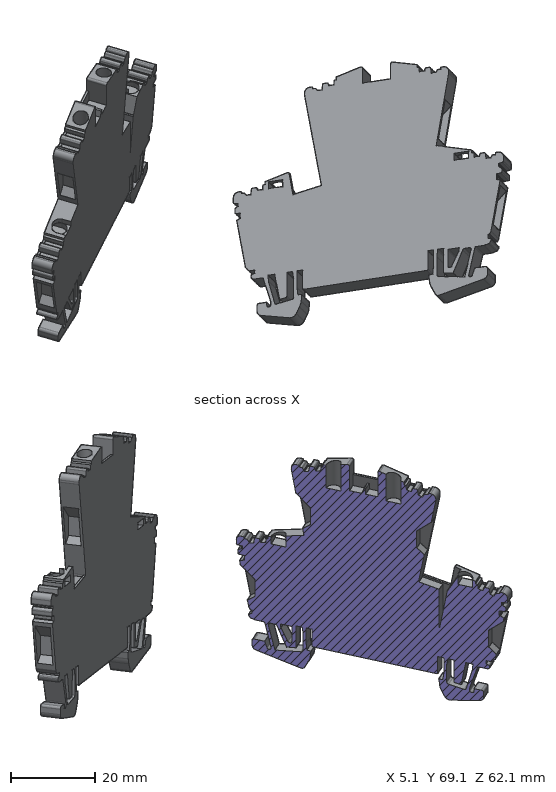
import cadquery as cq
import math

THICKNESS = 5.1
HALF_LENGTH = 34.535
HEIGHT = 62.1
SKIN = 0.6

TOWER_CENTRE_Y = -2.1
TOWER_HALF_WIDTH = 18.43
TOWER_BUMP_Z = 58.87
TOWER_WALL_TOP_Z = 57.0
CENTRE_NOTCH_HALF_WIDTH = 3.55
CENTRE_NOTCH_Z = 57.85
PEAK_CORNER_RISE = 0.14
PEAK_RADIUS = 0.5
NOTCH_RECESS_DEPTH = 3.2
RIB_TOP_DEPTH = 1.6
RIB_LEFT_Y = -1.5
RIB_TOP_WIDTH = 0.5
RIB_FOOT_WIDTH = 1.1

BODY_BUMP_Z = 34.65
BODY_WALL_TOP_Y = 33.685
BODY_WALL_TOP_Z = 27.35
LEFT_NOTCH_WALL_TOP = (20.33, 37.8, 0.3)
LEFT_NOTCH_OUTER = (19.3, 31.82)
LEFT_NOTCH_INNER = (12.03, 33.04)
FLANK_SKIN = 1.0
FLANK_FOOT = (19.1, 31.5)
FLANK_TOP_Y = 21.6
WELL_BOTTOM = (17.2, 20.6)
LEDGE_DEPTH = 0.5
RIGHT_STEP_CORNER = (-17.35, 38.8)

FOOT_ROOF_Z = 11.94
RAIL_SEAT_Z = 6.9
RAIL_SEAT_LEFT_Y = 16.82
RAIL_SEAT_RIGHT_Y = -15.24

HOLE_DIAMETER = 3.65
HOLE_X = 2.86
BODY_HOLE_Y = 23.75
TOWER_HOLE_OFFSET = 7.63
BODY_HOLE_FLOOR_Z = 34.3
TOWER_HOLE_FLOOR_Z = 54.0
WINDOW_TOP_Z = 36.05

WALL_LEAN = 0.178
ENTRY_X = (0.66, 4.6)
ENTRY_HEIGHT = 9.85
ENTRY_ROOF_DROP = 3.45
ENTRY_FLOOR_RISE = 1.6
ENTRY_DEPTH = 3.7
ENTRY_OVERSHOOT = 1.0
TOWER_ENTRY_TOP_Z = 50.55
BODY_ENTRY_TOP_Z = 26.25

COMB_GROOVES = ((3.4, 4.4, -1.15), (6.3, 7.4, -0.32))
COMB_END = (8.1, 1.6)
SIDE_NOTCHES = ((31.05, 31.65, 1.2), (27.9, 29.05, 1.75))
GROOVE_RECESS = 0.35
COMB_SLOPE = math.tan(math.radians(15))


def corner_points(before, corner, after, radius):
    """Start, middle and end of the arc that rounds a corner."""
    to_before = cq.Vector(before[0] - corner[0], before[1] - corner[1]).normalized()
    to_after = cq.Vector(after[0] - corner[0], after[1] - corner[1]).normalized()
    apex = cq.Vector(corner[0], corner[1])
    half_angle = to_before.getAngle(to_after) / 2
    start = apex + to_before * (radius / math.tan(half_angle))
    end = apex + to_after * (radius / math.tan(half_angle))
    bisector = (to_before + to_after).normalized()
    middle = apex + bisector * (radius / math.sin(half_angle) - radius)
    return [(point.x, point.y) for point in (start, middle, end)]


def rounded_prism(points, x_from=0.0, x_to=THICKNESS):
    """Prism along X of a closed (y, z) outline; a third value rounds that corner."""
    profile = None
    for index, point in enumerate(points):
        if len(point) == 3:
            following = points[(index + 1) % len(points)]
            stops = corner_points(points[index - 1], point, following, point[2])
        else:
            stops = [point]
        if profile is None:
            profile = cq.Workplane("YZ", origin=(x_from, 0, 0)).moveTo(*stops[0])
        else:
            profile = profile.lineTo(*stops[0])
        if len(stops) == 3:
            profile = profile.threePointArc(*stops[1:])
    return profile.close().extrude(x_to - x_from)


def block(x_range, y_range, z_range):
    """Axis-aligned box between the given limits."""
    size = [abs(limits[1] - limits[0]) for limits in (x_range, y_range, z_range)]
    lowest = [min(limits) for limits in (x_range, y_range, z_range)]
    return cq.Workplane("XY").box(*size, centered=False).translate(tuple(lowest))


def comb(outer_y, side, bump_z):
    """Marker comb from its outer edge inward; side is +1 at the +Y end and -1 at the -Y end."""
    shape = [
        (0.0, 0.0, 1.35), (2.0, 0.0, 0.25), (2.1, -0.5), (2.8, -0.5, 0.2), (3.3, -1.15),
        (4.45, -1.15), (4.65, 0.42, 0.4), (5.95, 0.42, 0.3), (6.2, -0.32), (7.5, -0.32),
        (7.55, 0.75), (8.1, 0.95), COMB_END,
    ]
    return [(outer_y - side * point[0], bump_z + point[1], *point[2:]) for point in shape]


def side_teeth(side):
    """Notched edge of the lower body, from the comb downward."""
    shape = [
        (0.0, 31.85, 0.3), (1.2, 31.7), (1.2, 31.0), (0.4, 30.45, 0.3), (0.4, 29.15, 0.3),
        (1.75, 29.1), (1.8, 27.8), (HALF_LENGTH - BODY_WALL_TOP_Y, BODY_WALL_TOP_Z),
    ]
    return [(side * (HALF_LENGTH - point[0]), *point[1:]) for point in shape]


def left_foot():
    """Clip foot at the +Y end, from the body wall to the rail seat."""
    return [
        (31.45, 14.85, 0.4), (30.5, 13.8, 0.4), (29.1, 13.8), (29.1, 13.0),
        (30.0, 12.7, 0.3), (30.0, 11.5, 0.7), (26.95, 11.5, 0.2), (24.96, 5.0, 0.4),
        (24.96, 3.75, 0.5), (25.95, 3.75, 0.48), (26.0, 5.05), (28.5, 5.05, 0.6),
        (28.5, 2.1, 1.3), (19.0, -0.17, 1.6), (17.25, 3.2, 4.0), (17.0, 5.6), (18.0, 5.75),
        (18.25, 7.6), (18.25, FOOT_ROOF_Z), (RAIL_SEAT_LEFT_Y, FOOT_ROOF_Z),
        (RAIL_SEAT_LEFT_Y, RAIL_SEAT_Z, 0.3),
    ]


def right_foot():
    """Clip foot at the -Y end, from the rail seat to the body wall."""
    return [
        (RAIL_SEAT_RIGHT_Y, RAIL_SEAT_Z, 0.3), (RAIL_SEAT_RIGHT_Y, FOOT_ROOF_Z),
        (-16.65, FOOT_ROOF_Z, 0.15), (-16.65, 7.6), (-16.46, 5.75), (-15.43, 5.6),
        (-15.7, 3.2, 4.0), (-17.4, -0.15, 1.0), (-30.5, 2.65, 1.3), (-30.5, 5.65, 0.7),
        (-27.2, 5.65), (-26.5, 3.6, 0.35), (-25.55, 3.6, 0.4), (-27.3, 11.1, 0.3),
        (-29.6, 11.1), (-30.9, 11.4, 0.4), (-31.6, 12.4, 0.4), (-30.55, 12.95),
        (-30.55, 13.75), (-31.0, 13.8), (-31.35, 14.5),
    ]


def body_outline():
    """Whole outline of the plate, starting at the wall of the +Y notch and going round by the tower."""
    tower_left = TOWER_CENTRE_Y + TOWER_HALF_WIDTH
    tower_right = TOWER_CENTRE_Y - TOWER_HALF_WIDTH
    notch_left = TOWER_CENTRE_Y + CENTRE_NOTCH_HALF_WIDTH
    notch_right = TOWER_CENTRE_Y - CENTRE_NOTCH_HALF_WIDTH
    tower_top = [
        (tower_left, TOWER_WALL_TOP_Z), *comb(tower_left, 1, TOWER_BUMP_Z),
        (notch_left, HEIGHT + PEAK_CORNER_RISE, PEAK_RADIUS),
        (notch_left, CENTRE_NOTCH_Z), (notch_right, CENTRE_NOTCH_Z),
        (notch_right, HEIGHT + PEAK_CORNER_RISE, PEAK_RADIUS),
        *reversed(comb(tower_right, -1, TOWER_BUMP_Z)), (tower_right, TOWER_WALL_TOP_Z),
    ]
    left_notch = [LEFT_NOTCH_WALL_TOP, LEFT_NOTCH_OUTER, LEFT_NOTCH_INNER]
    right_end = [*reversed(comb(-HALF_LENGTH, -1, BODY_BUMP_Z)), *side_teeth(-1)]
    left_end = [*reversed(side_teeth(1)), *comb(HALF_LENGTH, 1, BODY_BUMP_Z)]
    return [
        *left_notch, *tower_top, RIGHT_STEP_CORNER, *right_end,
        *reversed(right_foot()), *reversed(left_foot()), *left_end,
    ]


def foot_openings():
    """Through openings that make the clip feet springy."""
    left_slot = [
        (25.63, FOOT_ROOF_Z), (23.95, FOOT_ROOF_Z), (22.73, 5.2, 0.2), (20.85, 5.5, 0.3),
        (20.78, FOOT_ROOF_Z), (19.45, FOOT_ROOF_Z, 0.3), (19.1, 10.2), (19.1, 4.8, 0.5),
        (23.85, 4.15, 0.4), (25.55, 10.4),
    ]
    right_slot = [
        (-17.7, FOOT_ROOF_Z, 0.25), (-19.26, FOOT_ROOF_Z), (-19.26, 5.55, 0.2),
        (-21.7, 5.2), (-24.3, 11.1, 0.6), (-26.4, 11.1, 0.5), (-24.6, 3.75),
        (-17.55, 4.95, 0.5), (-17.55, 10.0),
    ]
    right_window = [
        (-20.34, 11.5, 0.2), (-23.2, 11.5), (-23.1, 10.6), (-21.2, 6.8, 0.3),
        (-20.34, 6.8, 0.4),
    ]
    return [rounded_prism(outline) for outline in (left_slot, right_slot, right_window)]


def comb_recesses(outer_y, side, bump_z):
    """Deeper groove floors of a comb behind the skin."""
    recesses = []
    for near, far, floor in COMB_GROOVES:
        floor_z = bump_z + floor
        outer, inner = outer_y - side * near, outer_y - side * far
        recess_z = floor_z - GROOVE_RECESS
        outline = [
            (outer, floor_z), (inner, floor_z),
            (inner, recess_z + COMB_SLOPE * (far - near)), (outer, recess_z),
        ]
        recesses.append(rounded_prism(outline, SKIN, THICKNESS))
    return recesses


def side_recesses(side):
    """Deeper side notches of the lower body behind the skin."""
    recesses = []
    for bottom, top, depth in SIDE_NOTCHES:
        floor_y = HALF_LENGTH - depth
        y_range = (side * (floor_y - GROOVE_RECESS), side * floor_y)
        recesses.append(block((SKIN, THICKNESS), y_range, (bottom, top)))
    return recesses


def wire_entry(side, top_z, wall_top, wall_top_z, centre_y):
    """Funnel-shaped wire entry that narrows inward from a leaning end wall."""
    bottom_z = top_z - ENTRY_HEIGHT
    mouth_top = wall_top - WALL_LEAN * (wall_top_z - top_z)
    mouth_bottom = wall_top - WALL_LEAN * (wall_top_z - bottom_z)
    outer = wall_top + ENTRY_OVERSHOOT
    back = mouth_top - ENTRY_DEPTH
    outline = [
        (outer, top_z), (mouth_top, top_z), (back, top_z - ENTRY_ROOF_DROP),
        (back, bottom_z + ENTRY_FLOOR_RISE), (mouth_bottom, bottom_z), (outer, bottom_z),
    ]
    placed = [(centre_y + side * distance, z) for distance, z in outline]
    return rounded_prism(placed, *ENTRY_X)


def screw_hole(y, floor_z):
    """Blind vertical screw hole, open upward."""
    hole = cq.Workplane("XY").circle(HOLE_DIAMETER / 2).extrude(HEIGHT - floor_z)
    return hole.translate((HOLE_X, y, floor_z))


def body_hole_cuts(side):
    """Lower screw hole with its side window in the skin and its shelf open to +X."""
    y = side * BODY_HOLE_Y
    y_range = (y - HOLE_DIAMETER / 2, y + HOLE_DIAMETER / 2)
    window = block((0, HOLE_X), y_range, (BODY_HOLE_FLOOR_Z, WINDOW_TOP_Z))
    shelf = block((HOLE_X, THICKNESS), y_range, (WINDOW_TOP_Z, HEIGHT))
    hole = screw_hole(y, BODY_HOLE_FLOOR_Z)
    return [window, shelf, hole]


def centre_notch_recess():
    """Deeper floor of the centre notch behind the skin, with a low rib across it."""
    left = TOWER_CENTRE_Y + CENTRE_NOTCH_HALF_WIDTH
    right = TOWER_CENTRE_Y - CENTRE_NOTCH_HALF_WIDTH
    floor_z = CENTRE_NOTCH_Z - NOTCH_RECESS_DEPTH
    rib_z = CENTRE_NOTCH_Z - RIB_TOP_DEPTH
    outline = [
        (left, CENTRE_NOTCH_Z), (left, floor_z), (RIB_LEFT_Y, floor_z), (RIB_LEFT_Y, rib_z),
        (RIB_LEFT_Y - RIB_TOP_WIDTH, rib_z), (RIB_LEFT_Y - RIB_FOOT_WIDTH, floor_z),
        (right, floor_z), (right, CENTRE_NOTCH_Z),
    ]
    return rounded_prism(outline, SKIN, THICKNESS)


def left_notch_recess():
    """Recess behind the +Y notch: a steep flank above a deep well, with a ledge beside the tower."""
    inner_y, inner_z = LEFT_NOTCH_INNER
    outer_y, outer_z = LEFT_NOTCH_OUTER
    floor_slope = (outer_z - inner_z) / (outer_y - inner_y)
    ledge_end_z = inner_z + floor_slope * (WELL_BOTTOM[0] - inner_y) - LEDGE_DEPTH
    floor = [
        LEFT_NOTCH_INNER, (inner_y, inner_z - LEDGE_DEPTH), (WELL_BOTTOM[0], ledge_end_z),
        WELL_BOTTOM, FLANK_FOOT, LEFT_NOTCH_OUTER,
    ]
    hole_edge_y = BODY_HOLE_Y - HOLE_DIAMETER / 2
    flank = [
        FLANK_FOOT, (FLANK_TOP_Y, WINDOW_TOP_Z), (hole_edge_y, WINDOW_TOP_Z),
        (hole_edge_y, HEIGHT), (FLANK_FOOT[0], HEIGHT),
    ]
    flank_cut = rounded_prism(flank, FLANK_SKIN, THICKNESS)
    return [rounded_prism(floor, SKIN, THICKNESS), flank_cut]


cuts = foot_openings() + left_notch_recess() + [centre_notch_recess()]
for end in (1, -1):
    tower_edge = TOWER_CENTRE_Y + end * TOWER_HALF_WIDTH
    cuts += comb_recesses(tower_edge, end, TOWER_BUMP_Z)
    cuts += comb_recesses(end * HALF_LENGTH, end, BODY_BUMP_Z)
    cuts += side_recesses(end)
    cuts += body_hole_cuts(end)
    cuts.append(screw_hole(TOWER_CENTRE_Y + end * TOWER_HOLE_OFFSET, TOWER_HOLE_FLOOR_Z))
    tower_entry = wire_entry(
        end, TOWER_ENTRY_TOP_Z, TOWER_HALF_WIDTH, TOWER_WALL_TOP_Z, TOWER_CENTRE_Y
    )
    cuts.append(tower_entry)
    cuts.append(wire_entry(end, BODY_ENTRY_TOP_Z, BODY_WALL_TOP_Y, BODY_WALL_TOP_Z, 0.0))

result = rounded_prism(body_outline())
for cut in cuts:
    result = result.cut(cut)